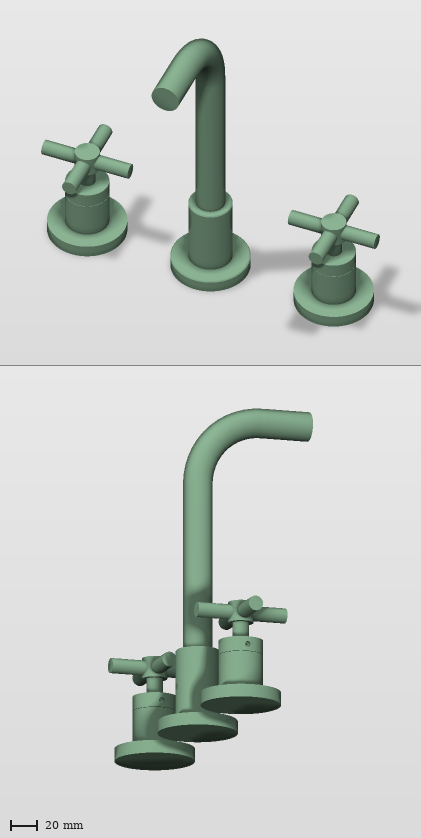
import cadquery as cq

OVERALL_WIDTH = 269.8
OVERALL_DEPTH = 122.2
OVERALL_HEIGHT = 252.3
ARM_SPAN = 70.0
VALVE_OFFSET = (OVERALL_WIDTH - ARM_SPAN) / 2

FLANGE_DIAMETER = 60.2
FLANGE_HEIGHT = 9.7
BARREL_DIAMETER = 33.2

TUBE_DIAMETER = 22.0
COLLAR_TOP = 63.5
COLLAR_CHAMFER = 0.8
FLANGE_CHAMFER = 0.8
BEND_RADIUS = 50.5
SPOUT_REACH = OVERALL_DEPTH - ARM_SPAN / 2
TUBE_CENTRE_HEIGHT = OVERALL_HEIGHT - TUBE_DIAMETER / 2
BEND_START_HEIGHT = TUBE_CENTRE_HEIGHT - BEND_RADIUS
BEND_COSINE = 0.5 ** 0.5

BASE_TOP = 38.0
HANDLE_GAP = 0.3
CAP_BOTTOM = BASE_TOP + HANDLE_GAP
CAP_TOP = 49.5
STEM_DIAMETER = 12.5
HUB_DIAMETER = 19.0
HUB_BOTTOM = 63.1
HUB_TOP = 78.8
ARM_DIAMETER = 11.3
ARM_HEIGHT = (HUB_BOTTOM + HUB_TOP) / 2

SIDE_DETAIL_DIAMETER = 4.3
SIDE_DETAIL_HEIGHT = 43.5
SCREW_HOLE_DEPTH = 2.7
DRILL_POINT_DIAMETER = 3.2
DRILL_POINT_DEPTH = 1.0
MARK_DEPTH = 0.13


def upright_cylinder(diameter, bottom, top):
    """Cylinder on the Z axis between two heights."""
    return cq.Workplane("XY").workplane(offset=bottom).circle(diameter / 2).extrude(top - bottom)


def make_spout():
    """Flanged foot, collar and bent tube that points toward -Y."""
    flange = upright_cylinder(FLANGE_DIAMETER, 0, FLANGE_HEIGHT).faces(">Z").chamfer(FLANGE_CHAMFER)
    collar = upright_cylinder(BARREL_DIAMETER, 0, COLLAR_TOP).faces(">Z").chamfer(COLLAR_CHAMFER)
    bend_middle = (
        -BEND_RADIUS * (1 - BEND_COSINE),
        BEND_START_HEIGHT + BEND_RADIUS * BEND_COSINE,
    )
    path = (
        cq.Workplane("YZ")
        .moveTo(0, 0)
        .lineTo(0, BEND_START_HEIGHT)
        .threePointArc(bend_middle, (-BEND_RADIUS, TUBE_CENTRE_HEIGHT))
        .lineTo(-SPOUT_REACH, TUBE_CENTRE_HEIGHT)
    )
    tube = cq.Workplane("XY").circle(TUBE_DIAMETER / 2).sweep(path)
    return flange.union(collar).union(tube)


def make_valve_base(x):
    """Flanged barrel that stands under a handle."""
    flange = upright_cylinder(FLANGE_DIAMETER, 0, FLANGE_HEIGHT)
    barrel = upright_cylinder(BARREL_DIAMETER, 0, BASE_TOP)
    return flange.union(barrel).translate((x, 0, 0))


def make_screw_hole():
    """Cutter for the set-screw hole on the -X side, with a conical bottom."""
    hole_floor = BARREL_DIAMETER / 2 - SCREW_HOLE_DEPTH
    tip = hole_floor - DRILL_POINT_DEPTH
    profile = [
        (-tip, 0),
        (-hole_floor, DRILL_POINT_DIAMETER / 2),
        (-hole_floor, SIDE_DETAIL_DIAMETER / 2),
        (-BARREL_DIAMETER, SIDE_DETAIL_DIAMETER / 2),
        (-BARREL_DIAMETER, 0),
    ]
    cutter = cq.Workplane("XZ").polyline(profile).close().revolve(360, (0, 0, 0), (1, 0, 0))
    return cutter.translate((0, 0, SIDE_DETAIL_HEIGHT))


def make_index_mark():
    """Cutter for the round mark on the -Y side, whose floor follows the cap wall."""
    core = upright_cylinder(BARREL_DIAMETER - 2 * MARK_DEPTH, CAP_BOTTOM, CAP_TOP)
    peg = (
        cq.Workplane("XZ")
        .center(0, SIDE_DETAIL_HEIGHT)
        .circle(SIDE_DETAIL_DIAMETER / 2)
        .extrude(BARREL_DIAMETER)
    )
    return peg.cut(core)


def make_handle(x):
    """Cap, stem and hub with crossed arms, a set-screw hole and an index mark."""
    cap = upright_cylinder(BARREL_DIAMETER, CAP_BOTTOM, CAP_TOP)
    stem = upright_cylinder(STEM_DIAMETER, CAP_BOTTOM, HUB_TOP)
    hub = upright_cylinder(HUB_DIAMETER, HUB_BOTTOM, HUB_TOP)
    handle = cap.union(stem).union(hub)

    for plane in ("YZ", "XZ"):
        section = cq.Workplane(plane).center(0, ARM_HEIGHT).circle(ARM_DIAMETER / 2)
        handle = handle.union(section.extrude(ARM_SPAN / 2, both=True))

    handle = handle.cut(make_screw_hole()).cut(make_index_mark())
    return handle.translate((x, 0, 0))


spout = make_spout()
valve_bodies = []
for valve_x in (-VALVE_OFFSET, VALVE_OFFSET):
    valve_bodies.append(make_valve_base(valve_x).val())
    valve_bodies.append(make_handle(valve_x).val())

result = cq.Compound.makeCompound([spout.val(), *valve_bodies])